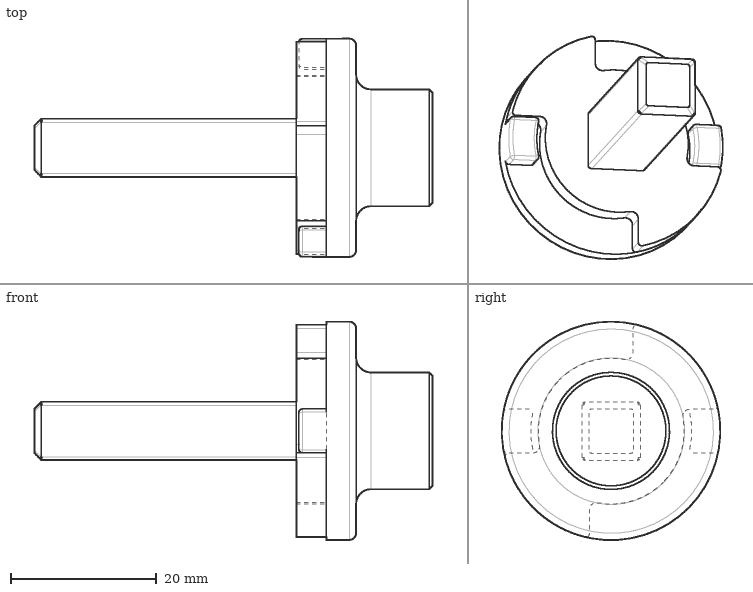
import cadquery as cq
import math


total_length = 54.6
cam_thickness = 4.1
flange_thickness = 4.1
hub_length = 10.5
shaft_length = total_length - cam_thickness - flange_thickness - hub_length
tab_length = 3.75

outer_diameter = 30.0
outer_radius = outer_diameter / 2
cam_core_radius = 10.0
tab_inner_radius = 11.05
hub_radius = 8.0
shaft_width = 8.0
tab_width = 6.0
tab_half = tab_width / 2

flange_round = 1.0
hub_root_round = 2.0
hub_end_chamfer = 0.5
shaft_edge_round = 0.5
shaft_end_chamfer = 1.0
cam_corner_round = 0.5
cam_root_round = 1.0
tab_round = 0.5

overrun = 2.75


def cylinder_along_x(radius, x_start, length):
    return cq.Workplane("YZ").workplane(offset=x_start).circle(radius).extrude(length)


def half_turn(shape):
    """Turn a shape by 180 degrees about the X axis."""
    return shape.rotate((0, 0, 0), (1, 0, 0), 180)


def make_knob_blank():
    """Hub, flange and a full-length rim for the tabs, turned about the X axis."""
    hub_end = flange_thickness + hub_length
    profile = (
        cq.Workplane("XZ")
        .moveTo(-tab_length, 0)
        .lineTo(-tab_length, outer_radius)
        .lineTo(flange_thickness - flange_round, outer_radius)
        .radiusArc((flange_thickness, outer_radius - flange_round), flange_round)
        .lineTo(flange_thickness, hub_radius + hub_root_round)
        .radiusArc((flange_thickness + hub_root_round, hub_radius), -hub_root_round)
        .lineTo(hub_end - hub_end_chamfer, hub_radius)
        .lineTo(hub_end, hub_radius - hub_end_chamfer)
        .lineTo(hub_end, 0)
        .close()
    )
    return profile.revolve(360, (0, 0, 0), (1, 0, 0))


def make_tab_clearance():
    """Material to remove in front of the flange so that only the two tabs stay."""
    blank_size = outer_diameter + overrun
    tab_band = cq.Workplane("YZ").rect(blank_size, tab_width).extrude(-tab_length)
    core = cylinder_along_x(tab_inner_radius, -tab_length, tab_length)
    front = cq.Workplane("YZ").rect(blank_size, blank_size).extrude(-tab_length)
    return front.cut(tab_band).union(core)


def make_knob():
    """Round flange and hub, with two round-edged tabs reaching into the cam's openings."""
    knob = make_knob_blank().cut(make_tab_clearance())
    front_zone = cq.selectors.BoxSelector(
        (-tab_length - overrun, -outer_diameter, -outer_diameter),
        (-tab_round / 2, outer_diameter, outer_diameter),
    )
    return knob.edges(front_zone).fillet(tab_round)


def fillet_axial_edges(disc, edge_radius, round_size):
    """Fillet the edges parallel to X where a stop wall meets the cylinder of edge_radius."""
    height = math.sqrt(edge_radius**2 - tab_half**2)
    middle = -cam_thickness / 2
    ends = [(-tab_half, -height), (tab_half, height), (-height, -tab_half), (height, tab_half)]
    for y, z in ends:
        disc = disc.edges(cq.selectors.NearestToPointSelector((middle, y, z))).fillet(round_size)
    return disc


def make_cam_window():
    """Space beside the cam core on the -Y, +Z side, bounded by two stop walls."""
    reach = outer_radius + overrun
    window = (
        cq.Workplane("XY")
        .box(cam_thickness, reach + tab_half, reach + tab_half, centered=False)
        .translate((-cam_thickness, -reach, -tab_half))
    )
    return window.cut(cylinder_along_x(cam_core_radius, -cam_thickness, cam_thickness))


def make_shaft():
    """Square bar with rounded long edges and a bevelled free end."""
    bar = (
        cq.Workplane("YZ")
        .workplane(offset=-cam_thickness - shaft_length)
        .rect(shaft_width, shaft_width)
        .extrude(shaft_length)
    )
    bar = bar.faces("<X").edges().chamfer(shaft_end_chamfer)
    lengthwise_edges = bar.edges("not(#X)")
    return lengthwise_edges.fillet(shaft_edge_round)


def make_cam():
    """Disc with two lobes and a square shaft standing on its -X face."""
    window = make_cam_window()
    disc = cylinder_along_x(outer_radius, -cam_thickness, cam_thickness)
    disc = disc.cut(window).cut(half_turn(window))
    disc = fillet_axial_edges(disc, cam_core_radius, cam_root_round)
    disc = fillet_axial_edges(disc, outer_radius, cam_corner_round)
    return disc.union(make_shaft())


knob = make_knob()
cam = make_cam()
result = cq.Compound.makeCompound([knob.val(), cam.val()])